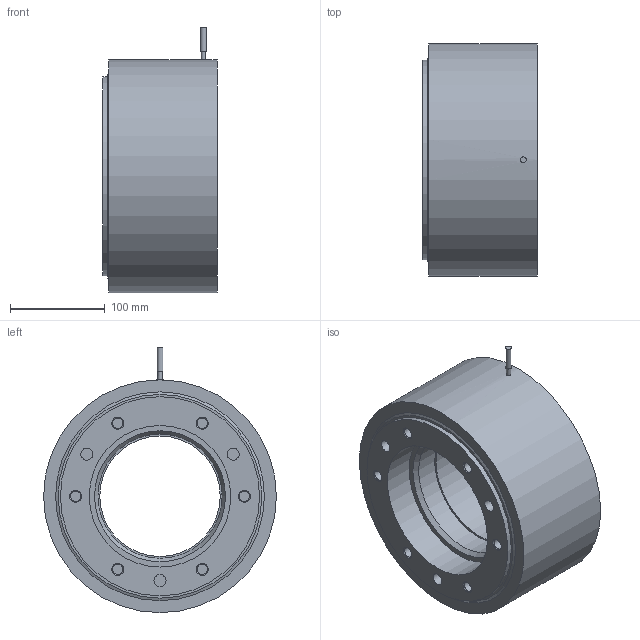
import cadquery as cq

TOTAL_LENGTH = 120.65
BODY_DIAMETER = 245.36
BODY_LENGTH = 114.3
BODY_START = TOTAL_LENGTH - BODY_LENGTH

FLANGE_DIAMETER = 209.9
SHOULDER_HEIGHT = 1.2
SHOULDER_BASE_DIAMETER = 220.0
SHOULDER_TOP_DIAMETER = 214.6
SHOULDER_START = BODY_START - SHOULDER_HEIGHT

ENTRY_BORE_DIAMETER = 149.2
ENTRY_BORE_DEPTH = 32.5
CONE_MOUTH_DIAMETER = 138.0
MIDDLE_BORE_DIAMETER = 131.0
CONE_END = 37.5
THROUGH_BORE_DIAMETER = 127.0
MIDDLE_BORE_END = 61.5

BOLT_CIRCLE_DIAMETER = 177.8
HOLE_DEPTH = 25.4
BOLT_COUNT = 6
BOLT_START_ANGLE = 0
BOLT_HOLE_DIAMETER = 10.8
BOLT_MOUTH_DIAMETER = 12.7
BOLT_CHAMFER = (BOLT_MOUTH_DIAMETER - BOLT_HOLE_DIAMETER) / 2
PIN_COUNT = 3
PIN_HOLE_DIAMETER = 12.7
PIN_START_ANGLE = 30

OVERALL_HEIGHT = 279.65
CABLE_X = 106.0
CABLE_DIAMETER = 4.7
SLEEVE_DIAMETER = 6.1
SLEEVE_LENGTH = 25.4
CABLE_TOP = OVERALL_HEIGHT - BODY_DIAMETER / 2
CABLE_EMBED = 5.0


def ring_body():
    """Revolve the stepped half section about the X axis."""
    section = [
        (0, ENTRY_BORE_DIAMETER),
        (0, FLANGE_DIAMETER),
        (SHOULDER_START, FLANGE_DIAMETER),
        (SHOULDER_START, SHOULDER_TOP_DIAMETER),
        (BODY_START, SHOULDER_BASE_DIAMETER),
        (BODY_START, BODY_DIAMETER),
        (TOTAL_LENGTH, BODY_DIAMETER),
        (TOTAL_LENGTH, THROUGH_BORE_DIAMETER),
        (MIDDLE_BORE_END, THROUGH_BORE_DIAMETER),
        (MIDDLE_BORE_END, MIDDLE_BORE_DIAMETER),
        (CONE_END, MIDDLE_BORE_DIAMETER),
        (ENTRY_BORE_DEPTH, CONE_MOUTH_DIAMETER),
        (ENTRY_BORE_DEPTH, ENTRY_BORE_DIAMETER),
    ]
    half_section = [(x, diameter / 2) for x, diameter in section]
    return cq.Workplane("XY").polyline(half_section).close().revolve(360, (0, 0, 0), (1, 0, 0))


def hole_centres(count, start_angle):
    """Workplane on the flange face with points spread round the bolt circle."""
    return cq.Workplane("YZ").polarArray(BOLT_CIRCLE_DIAMETER / 2, start_angle, 360, count)


def bolt_holes():
    """Blind bolt holes with a 45 degree chamfer at the mouth."""
    profile = [
        (0, 0),
        (BOLT_MOUTH_DIAMETER / 2, 0),
        (BOLT_HOLE_DIAMETER / 2, BOLT_CHAMFER),
        (BOLT_HOLE_DIAMETER / 2, HOLE_DEPTH),
        (0, HOLE_DEPTH),
    ]
    cutter = cq.Workplane("XZ").polyline(profile).close().revolve(360, (0, 0, 0), (0, 1, 0)).val()
    return hole_centres(BOLT_COUNT, BOLT_START_ANGLE).eachpoint(cutter.moved, useLocalCoordinates=True)


def pin_holes():
    """Plain blind dowel holes."""
    return hole_centres(PIN_COUNT, PIN_START_ANGLE).circle(PIN_HOLE_DIAMETER / 2).extrude(HOLE_DEPTH)


def cable_outlet():
    """Thin cable rooted in the body, with a thicker sleeve at its free end."""
    cable_bottom = BODY_DIAMETER / 2 - CABLE_EMBED
    sleeve_bottom = CABLE_TOP - SLEEVE_LENGTH
    base = cq.Workplane("XY").center(CABLE_X, 0)
    cable_length = sleeve_bottom - cable_bottom
    cable = base.workplane(offset=cable_bottom).circle(CABLE_DIAMETER / 2).extrude(cable_length)
    sleeve = base.workplane(offset=sleeve_bottom).circle(SLEEVE_DIAMETER / 2).extrude(SLEEVE_LENGTH)
    return cable.union(sleeve)


result = ring_body().cut(bolt_holes()).cut(pin_holes()).union(cable_outlet())